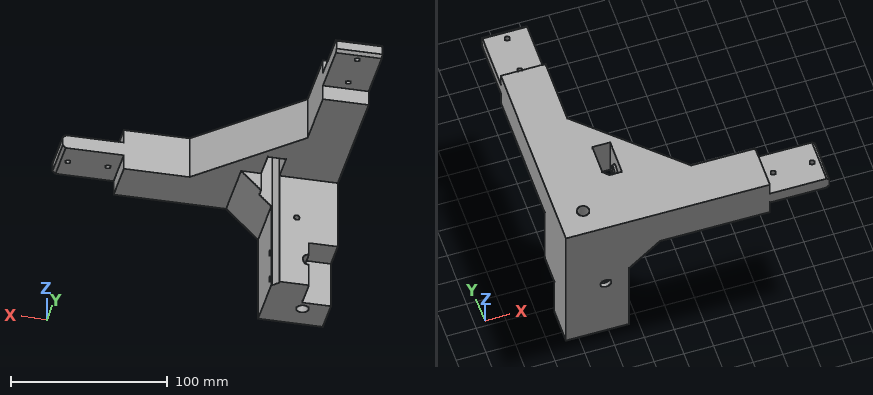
import cadquery as cq

span_x = 177.0
span_y = 174.5
height = 112.0

arm_size = 30.1
tongue_length = 40.0
tongue_top = -9.7
tongue_thickness = 10.0
tongue_chamfer = 2.0
tongue_hole_diameter = 3.4
tongue_hole_from_tip = 6.7
tongue_hole_spacing = 26.2
arm_end_x = span_x - tongue_length
arm_end_y = span_y - tongue_length

web_x = 94.0
web_y = 89.7

leg_x = 42.5
leg_y = 44.0
brace_size = 20.9

recess_depth = 19.0
recess_start_y = 24.0
recess_top = -79.3
groove_diameter = 8.0
groove_z = -92.2
clamp_hole_diameter = 3.4
clamp_hole_y = 34.2
clamp_hole_heights = (-83.9, -104.0)

vertical_bore_diameter = 8.0
vertical_bore_position = 17.2
screw_hole_diameter = 3.5
screw_head_diameter = 7.3
screw_head_depth = 3.0
screw_x = 26.9
screw_z = -60.7

slot_start_x = 38.2
slot_start_y = 39.0
slot_width = 12.0
slot_length = 24.2
slot_corner = 3.7
bump_base_diameter = 8.3
bump_tip_diameter = 6.7
bump_height = 1.6
bump_y = 51.5
bump_z = -arm_size / 2


def box(x_size, y_size, z_size, x=0, y=0, z=0):
    """Box whose minimum corner is at (x, y, z)."""
    return cq.Workplane("XY").box(x_size, y_size, z_size, centered=False).translate((x, y, z))


def drill_z(diameter, x, y):
    """Vertical cutter through the full height."""
    return cq.Workplane("XY").center(x, y).circle(diameter / 2).extrude(-height)


def drill_x(diameter, y, z, length):
    """Cutter along X, starting at the outer X face."""
    return cq.Workplane("YZ").center(y, z).circle(diameter / 2).extrude(length)


def drill_y(diameter, x, z, length):
    """Cutter along Y, starting at the outer Y face."""
    return cq.Workplane("XZ").center(x, z).circle(diameter / 2).extrude(-length)


def make_arms():
    outline = [
        (0, 0), (arm_end_x, 0), (arm_end_x, arm_size), (web_x, arm_size),
        (arm_size, web_y), (arm_size, arm_end_y), (0, arm_end_y),
    ]
    return cq.Workplane("XY").polyline(outline).close().extrude(-arm_size)


def make_leg():
    outline = [
        (0, 0), (leg_x + brace_size, 0), (leg_x + brace_size, -arm_size),
        (leg_x, -arm_size - brace_size), (leg_x, -height), (0, -height),
    ]
    return cq.Workplane("XZ").polyline(outline).close().extrude(-leg_y)


def make_tongues():
    tongue_bottom = tongue_top - tongue_thickness
    tongue_x = box(tongue_length, arm_size, tongue_thickness, x=arm_end_x, z=tongue_bottom)
    tongue_x = tongue_x.faces(">X").edges("|Y").chamfer(tongue_chamfer)
    tongue_y = box(arm_size, tongue_length, tongue_thickness, y=arm_end_y, z=tongue_bottom)
    tongue_y = tongue_y.faces(">Y").edges("|X").chamfer(tongue_chamfer)
    for from_tip in (tongue_hole_from_tip, tongue_hole_from_tip + tongue_hole_spacing):
        tongue_x = tongue_x.cut(drill_z(tongue_hole_diameter, span_x - from_tip, arm_size / 2))
        tongue_y = tongue_y.cut(drill_z(tongue_hole_diameter, arm_size / 2, span_y - from_tip))
    return tongue_x, tongue_y


def cut_clamp_recess(body):
    recess_width = leg_y - recess_start_y
    recess = box(recess_depth, recess_width, height + recess_top, y=recess_start_y, z=-height)
    groove = cq.Workplane("XZ", origin=(0, recess_start_y, 0)).center(recess_depth, groove_z)
    groove = groove.circle(groove_diameter / 2).extrude(-recess_width)
    body = body.cut(recess).cut(groove)
    for hole_z in clamp_hole_heights:
        body = body.cut(drill_x(clamp_hole_diameter, clamp_hole_y, hole_z, leg_x))
    return body


def cut_bores(body):
    body = body.cut(drill_z(vertical_bore_diameter, vertical_bore_position, vertical_bore_position))
    body = body.cut(drill_y(screw_hole_diameter, screw_x, screw_z, leg_y))
    return body.cut(drill_y(screw_head_diameter, screw_x, screw_z, screw_head_depth))


def make_slot():
    slot = box(slot_width, slot_length, height, x=slot_start_x, y=slot_start_y, z=-height)
    slot = slot.edges("|Z and <X and <Y").chamfer(slot_corner)
    slot_middle_x = slot_start_x + slot_width / 2
    bump_profile = [
        (0, 0), (bump_base_diameter / 2, 0), (bump_tip_diameter / 2, bump_height), (0, bump_height),
    ]
    bump = cq.Workplane("XY").polyline(bump_profile).close().revolve(360, (0, 0), (0, 1))
    for wall_side in (-1, 1):
        facing_middle = bump.rotate((0, 0, 0), (0, 0, 1), wall_side * 90)
        wall_x = slot_middle_x + wall_side * slot_width / 2
        slot = slot.cut(facing_middle.translate((wall_x, bump_y, bump_z)))
    return slot


bracket = make_arms().union(make_leg())
for tongue in make_tongues():
    bracket = bracket.union(tongue)
bracket = cut_clamp_recess(bracket)
bracket = cut_bores(bracket)
result = bracket.cut(make_slot())